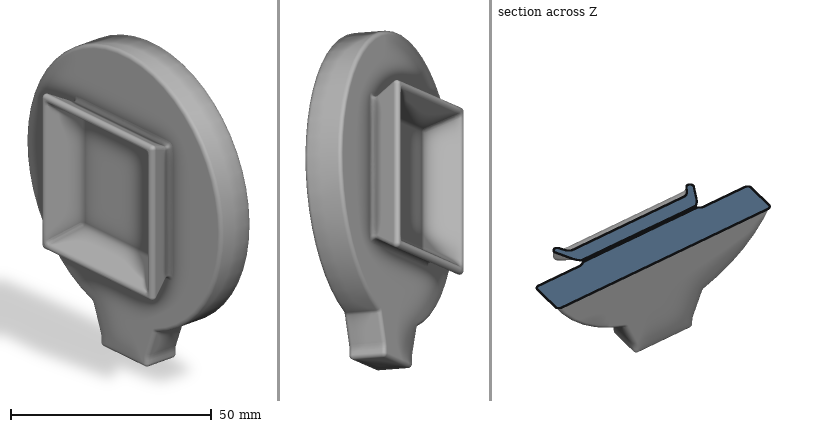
import cadquery as cq
import math

disc_radius = 37.215
plate_thickness = 10.0
edge_radius = 1.0

tab_root_half_width = 12.0
tab_end_half_width = 8.9
tab_knee_z = -43.4
tab_end_z = -46.245
tab_knee_radius = 4.0

cup_height = 8.8
cup_rim_half_width = 21.78
cup_flare = 0.5
cup_wall = 2.0
pocket_depth = cup_height
pocket_edge_radius = 0.99 * cup_wall / 2

pick_margin = 0.01

tab_root_z = -math.sqrt(disc_radius**2 - tab_root_half_width**2)
cup_base_half_width = cup_rim_half_width - cup_flare * cup_height
pocket_rim_half_width = cup_rim_half_width - cup_wall * math.hypot(1, cup_flare)


def plate():
    """Disc and tab in one outline, rounded on every edge."""
    body = (
        cq.Workplane("XZ", origin=(0, plate_thickness, 0))
        .moveTo(-tab_root_half_width, tab_root_z)
        .threePointArc((0, disc_radius), (tab_root_half_width, tab_root_z))
        .lineTo(tab_end_half_width, tab_knee_z)
        .lineTo(tab_end_half_width, tab_end_z)
        .lineTo(-tab_end_half_width, tab_end_z)
        .lineTo(-tab_end_half_width, tab_knee_z)
        .close()
        .extrude(plate_thickness)
    )
    for x, z, radius in (
        (tab_root_half_width, tab_root_z, edge_radius),
        (tab_end_half_width, tab_knee_z, tab_knee_radius),
        (tab_end_half_width, tab_end_z, edge_radius),
    ):
        for side in (-1, 1):
            corner = cq.selectors.NearestToPointSelector((side * x, plate_thickness / 2, z))
            body = body.edges("|Y").edges(corner).fillet(radius)
    return body.faces("<Y or >Y").edges().fillet(edge_radius)


def flared_block(rim_half_width, depth):
    """Square block that narrows from the cup rim toward the plate."""
    floor_half_width = rim_half_width - cup_flare * depth
    return (
        cq.Workplane("XZ", origin=(0, -cup_height, 0))
        .rect(2 * rim_half_width, 2 * rim_half_width)
        .workplane(offset=-depth)
        .rect(2 * floor_half_width, 2 * floor_half_width)
        .loft(ruled=True)
    )


def square_edges_at(y, half_width):
    """Select the edges lying in the plane at y, inside a centred square."""
    reach = half_width + pick_margin
    return cq.selectors.BoxSelector(
        (-reach, y - pick_margin, -reach),
        (reach, y + pick_margin, reach),
    )


def cup_outside():
    """Solid cup, rounded at the rim and along the slanted corners."""
    block = flared_block(cup_rim_half_width, cup_height)
    return block.edges("not(>Y)").fillet(edge_radius)


def pocket():
    """Cutter for the inside of the cup, rounded at the corners and the floor."""
    block = flared_block(pocket_rim_half_width, pocket_depth)
    return block.edges("not(<Y)").fillet(pocket_edge_radius)


result = plate().union(cup_outside())
result = result.edges(square_edges_at(0, cup_base_half_width)).fillet(edge_radius)
result = result.cut(pocket())
result = result.edges(square_edges_at(-cup_height, pocket_rim_half_width)).fillet(pocket_edge_radius)